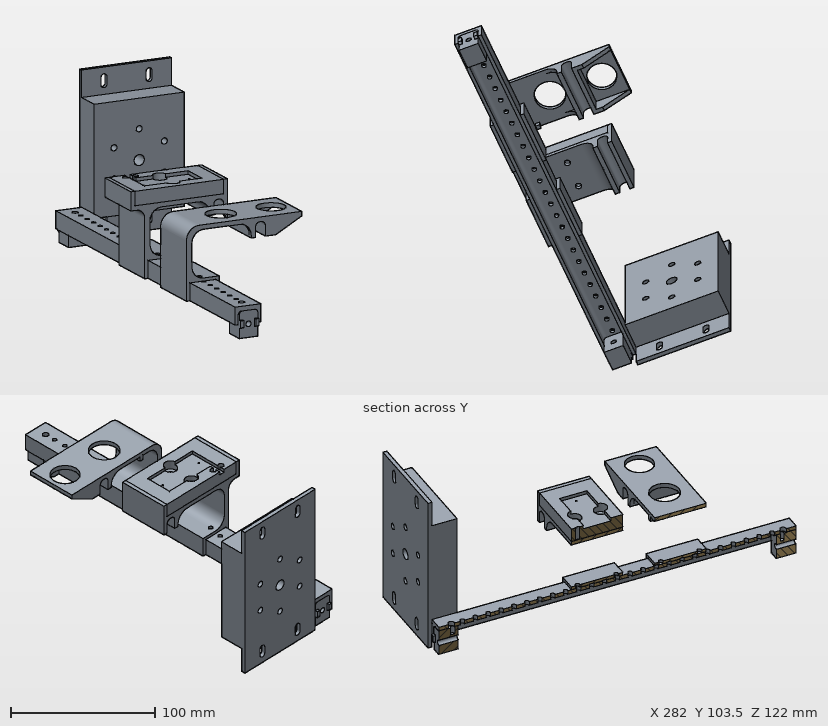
import cadquery as cq
import math

rail_start = 3.0
rail_length = 277.0
rail_width = 20.0
rail_bottom = 10.2
rail_top = 23.0
channel_width = 15.2
channel_top = 19.7
channel_corner_radius = 2.5
rail_middle = rail_start + rail_length / 2

row_hole_diameter = 3.0
row_hole_count = 25
row_span = 240.0
row_pitch = row_span / (row_hole_count - 1)
end_hole_diameter = 4.5
end_hole_inset = 10.0

cap_length = 15.2
cap_width = 14.5
cap_bore_diameter = 4.0
cap_bore_height = 10.0
cap_screw_diameter = 3.0
cap_screw_depth = 5.6
cap_screw_inset = end_hole_inset + 0.8
tab_reach = 2.0
tab_width = 2.5
tab_top = 13.3
tab_tip_bottom = 8.2
tab_root_bottom = 7.3

plate_thickness = rail_start
plate_width = 70.0
plate_height = 122.0
block_depth = 19.5
block_margin = 19.7
plate_side = rail_width / 2
plate_middle = plate_side + plate_width / 2
slot_width = 4.5
slot_length = 10.0
slot_spacing_y = 35.0
slot_spacing_z = 102.0
hub_height = 57.5
hub_diameter = 8.0
bolt_circle_radius = 22.5
bolt_hole_diameter = 4.5
bolt_count = 6

bracket_width = 40.0
column_outer = -12.7
column_inner = -8.5
clamp_floor = 25.5
deck_bottom = 60.5
deck_top = 63.8
rib_bottom = 49.5
rib_inner = 37.5
rib_outer = 41.0
wall_inner = 48.5
wall_outer = 51.5
groove_corner_radius = 3.5
window_radius = 9.0
clamp_hole_diameter = 3.0
clamp_hole_inset = 5.0

cradle_start = 105.8
cradle_front = -23.5
cradle_top = 74.2
lip_thickness = wall_outer - wall_inner
cradle_fillet = 6.5
pad_front = cradle_front + lip_thickness
pad_length = wall_inner - pad_front
pad_thickness = cradle_top - deck_top
pad_middle_x = cradle_start + bracket_width / 2
pad_middle_y = (pad_front + wall_inner) / 2
pocket_depth = 2.5
pocket_width = 21.2
pocket_length = 44.5
cable_slot_width = 4.2
screw_spacing = 20.0
screw_hole_diameter = 4.2
counterbore_diameter = 10.0
counterbore_depth = 7.0
pilot_diameter = 1.0
pilot_depth = 2.5
pilot_spacing = 35.8
tie_hole_diameter = 4.2
tie_hole_inset = 4.8
tie_hole_spacing = 8.0

holder_start = 170.5
holder_rear = 76.7
holder_bend_radius = 10.0
holder_holes = [(24.0, 22.0), (63.0, 21.0)]
gusset_thickness = 3.0
gusset_foot = 56.5
peg_side = 3.0
peg_length = 3.7
peg_y = 7.3


def upright_cylinder(x, y, bottom, diameter, height):
    return cq.Workplane("XY", origin=(x, y, bottom)).circle(diameter / 2).extrude(height)


def channel_block(start, length, low_y, high_y, bottom):
    """Block along X that has the rounded top corners of the rail channel."""
    block = cq.Workplane("XY").box(length, high_y - low_y, channel_top - bottom, centered=False)
    block = block.translate((start, low_y, bottom))
    return block.edges("|X and >Z").fillet(channel_corner_radius)


def make_rail():
    rail_height = rail_top - rail_bottom
    rail = cq.Workplane("XY").box(rail_length, rail_width, rail_height, centered=(False, True, False))
    rail = rail.translate((rail_start, 0, rail_bottom))
    half_channel = channel_width / 2
    rail = rail.cut(channel_block(rail_start, rail_length, -half_channel, half_channel, rail_bottom))
    top = cq.Workplane("XY", origin=(rail_middle, 0, channel_top))
    wall = rail_top - channel_top
    row = top.rarray(row_pitch, 2.8, row_hole_count, 1).circle(row_hole_diameter / 2).extrude(wall)
    end_spacing = rail_length - 2 * end_hole_inset
    ends = top.rarray(end_spacing, 2.8, 2, 1).circle(end_hole_diameter / 2).extrude(wall)
    return rail.cut(row).cut(ends)


def make_cap():
    """Cap for the -X end; it bears on the -Y wall of the channel."""
    low_y = -channel_width / 2
    high_y = low_y + cap_width
    middle_y = (low_y + high_y) / 2
    cap = channel_block(rail_start, cap_length, low_y, high_y, 0)

    tab_tip = rail_start - tab_reach
    tab_root = rail_start + tab_reach
    tab_outline = [
        (tab_root, tab_root_bottom),
        (rail_start, tab_root_bottom),
        (tab_tip, tab_tip_bottom),
        (tab_tip, tab_top),
        (tab_root, tab_top),
    ]
    for tab_low_y in (low_y, high_y - tab_width):
        tab = cq.Workplane("XZ", origin=(0, tab_low_y, 0)).polyline(tab_outline).close().extrude(-tab_width)
        cap = cap.union(tab)

    bore = cq.Workplane("YZ", origin=(rail_start, middle_y, cap_bore_height))
    cap = cap.cut(bore.circle(cap_bore_diameter / 2).extrude(cap_length))
    screw_x = rail_start + cap_screw_inset
    screw_bottom = channel_top - cap_screw_depth
    return cap.cut(upright_cylinder(screw_x, middle_y, screw_bottom, cap_screw_diameter, cap_screw_depth))


def make_plate():
    plate = cq.Workplane("XY").box(plate_thickness, plate_width, plate_height, centered=(False, True, False))
    block_height = plate_height - 2 * block_margin
    block = cq.Workplane("XY").box(block_depth, plate_width, block_height, centered=(False, True, False))
    plate = plate.union(block.translate((plate_thickness, 0, block_margin)))
    plate = plate.translate((0, plate_middle, 0))

    depth = plate_thickness + block_depth
    slot_face = cq.Workplane("YZ", origin=(0, plate_middle, plate_height / 2))
    slots = slot_face.rarray(slot_spacing_y, slot_spacing_z, 2, 2).slot2D(slot_length, slot_width, 90)
    hub_face = cq.Workplane("YZ", origin=(0, plate_middle, hub_height))
    hub = hub_face.circle(hub_diameter / 2).extrude(depth)
    bolts = hub_face.polarArray(bolt_circle_radius, 90, 360, bolt_count).circle(bolt_hole_diameter / 2)
    return plate.cut(slots.extrude(depth)).cut(hub).cut(bolts.extrude(depth))


def trace_underside(path, rib_fillet):
    """Continue a section from the outer foot of the rear wall to the outer foot of the column.

    rib_fillet is the radius between the rib and the deck; 0 leaves a sharp corner.
    """
    clamp_half = rail_width / 2
    groove_side_top = deck_bottom - groove_corner_radius
    window_side_top = deck_bottom - window_radius
    path = (
        path.lineTo(wall_inner, rib_bottom)
        .lineTo(wall_inner, groove_side_top)
        .tangentArcPoint((wall_inner - groove_corner_radius, deck_bottom), relative=False)
        .lineTo(rib_outer + groove_corner_radius, deck_bottom)
        .tangentArcPoint((rib_outer, groove_side_top), relative=False)
        .lineTo(rib_outer, rib_bottom)
        .lineTo(rib_inner, rib_bottom)
        .lineTo(rib_inner, deck_bottom - rib_fillet)
    )
    if rib_fillet > 0:
        path = path.tangentArcPoint((rib_inner - rib_fillet, deck_bottom), relative=False)
    return (
        path.lineTo(column_inner + window_radius, deck_bottom)
        .tangentArcPoint((column_inner, window_side_top), relative=False)
        .lineTo(column_inner, clamp_floor + window_radius)
        .tangentArcPoint((column_inner + window_radius, clamp_floor), relative=False)
        .lineTo(-column_outer, clamp_floor)
        .lineTo(-column_outer, rail_bottom)
        .lineTo(clamp_half, rail_bottom)
        .lineTo(clamp_half, rail_top)
        .lineTo(-clamp_half, rail_top)
        .lineTo(-clamp_half, rail_bottom)
        .lineTo(column_outer, rail_bottom)
    )


def cut_clamp_holes(bracket, start):
    """Drill the two screw holes through the saddle that sits on the rail."""
    for x in (start + clamp_hole_inset, start + bracket_width - clamp_hole_inset):
        hole = upright_cylinder(x, 0, rail_top, clamp_hole_diameter, deck_bottom - rail_top)
        bracket = bracket.cut(hole)
    return bracket


def screw_positions():
    return [(pad_middle_x + side * screw_spacing / 2, pad_middle_y) for side in (-1, 1)]


def make_cradle():
    path = (
        cq.Workplane("YZ", origin=(cradle_start, 0, 0))
        .moveTo(cradle_front, deck_bottom)
        .lineTo(cradle_front, cradle_top)
        .lineTo(pad_front, cradle_top)
        .lineTo(pad_front, deck_top)
        .lineTo(wall_inner, deck_top)
        .lineTo(wall_inner, cradle_top)
        .lineTo(wall_outer, cradle_top)
        .lineTo(wall_outer, rib_bottom)
    )
    path = trace_underside(path, window_radius)
    path = path.lineTo(column_outer, deck_bottom - cradle_fillet)
    path = path.tangentArcPoint((column_outer - cradle_fillet, deck_bottom), relative=False)
    cradle = cut_clamp_holes(path.close().extrude(bracket_width), cradle_start)
    for x, y in screw_positions():
        cradle = cradle.cut(upright_cylinder(x, y, deck_bottom, screw_hole_diameter, deck_top - deck_bottom))
    return cradle


def make_pad():
    pad = cq.Workplane("XY").box(bracket_width, pad_length, pad_thickness, centered=False)
    pad = pad.translate((cradle_start, pad_front, deck_top))

    pocket_floor = cradle_top - pocket_depth
    pocket_low_y = pad_middle_y - pocket_length / 2
    pocket = cq.Workplane("XY").box(pocket_width, pocket_length, pocket_depth, centered=(True, False, False))
    pad = pad.cut(pocket.translate((pad_middle_x, pocket_low_y, pocket_floor)))
    cable_slot = cq.Workplane("XY").box(bracket_width / 2, cable_slot_width, pocket_depth, centered=False)
    pad = pad.cut(cable_slot.translate((cradle_start, pocket_low_y, pocket_floor)))

    for x, y in screw_positions():
        pad = pad.cut(upright_cylinder(x, y, deck_top, screw_hole_diameter, pad_thickness))
        bore_floor = cradle_top - counterbore_depth
        pad = pad.cut(upright_cylinder(x, y, bore_floor, counterbore_diameter, counterbore_depth))

    slot_middle_y = pocket_low_y + cable_slot_width / 2
    for side in (-1, 1):
        pilot_y = pad_middle_y + side * pilot_spacing / 2
        pad = pad.cut(
            upright_cylinder(pad_middle_x, pilot_y, pocket_floor - pilot_depth, pilot_diameter, pilot_depth)
        )
        tie_x = cradle_start + tie_hole_inset
        tie_y = slot_middle_y + side * tie_hole_spacing / 2
        pad = pad.cut(upright_cylinder(tie_x, tie_y, deck_top, tie_hole_diameter, pad_thickness))
    return pad


def make_holder():
    bend_corner = math.sqrt(0.5) * holder_bend_radius
    bend_y = column_outer + holder_bend_radius
    bend_z = deck_top - holder_bend_radius
    path = (
        cq.Workplane("YZ", origin=(holder_start, 0, 0))
        .moveTo(column_outer, bend_z)
        .threePointArc((bend_y - bend_corner, bend_z + bend_corner), (bend_y, deck_top))
        .lineTo(holder_rear, deck_top)
        .lineTo(holder_rear, deck_bottom)
        .lineTo(wall_outer, deck_bottom)
        .lineTo(wall_outer, rib_bottom)
    )
    holder = cut_clamp_holes(trace_underside(path, 0).close().extrude(bracket_width), holder_start)

    overhang_outline = [
        (wall_inner, deck_bottom),
        (wall_inner, rib_bottom),
        (gusset_foot, rib_bottom),
        (holder_rear, deck_bottom),
    ]
    web_foot = deck_bottom - window_radius
    web_front = rib_inner - window_radius
    web_corner = math.sqrt(0.5) * window_radius
    for x in (holder_start, holder_start + bracket_width - gusset_thickness):
        side = cq.Workplane("YZ", origin=(x, 0, 0))
        overhang = side.polyline(overhang_outline).close().extrude(gusset_thickness)
        web = (
            side.moveTo(rib_inner, deck_bottom)
            .lineTo(rib_inner, web_foot)
            .threePointArc((web_front + web_corner, web_foot + web_corner), (web_front, deck_bottom))
            .close()
            .extrude(gusset_thickness)
        )
        holder = holder.union(overhang).union(web)

    deck_middle_x = holder_start + bracket_width / 2
    for y, diameter in holder_holes:
        holder = holder.cut(upright_cylinder(deck_middle_x, y, deck_bottom, diameter, deck_top - deck_bottom))

    peg = cq.Workplane("XY").box(peg_side, peg_side, peg_length, centered=(False, True, False))
    return holder.union(peg.translate((holder_start, peg_y, deck_bottom - peg_length)))


plate = make_plate()
rail = make_rail()
caps = [make_cap().rotate((rail_middle, 0, 0), (rail_middle, 0, 1), angle) for angle in (0, 180)]
cradle = make_cradle()
pad = make_pad()
holder = make_holder()

result = cq.Compound.makeCompound(
    [plate.val(), rail.val(), *[cap.val() for cap in caps], cradle.val(), pad.val(), holder.val()]
)